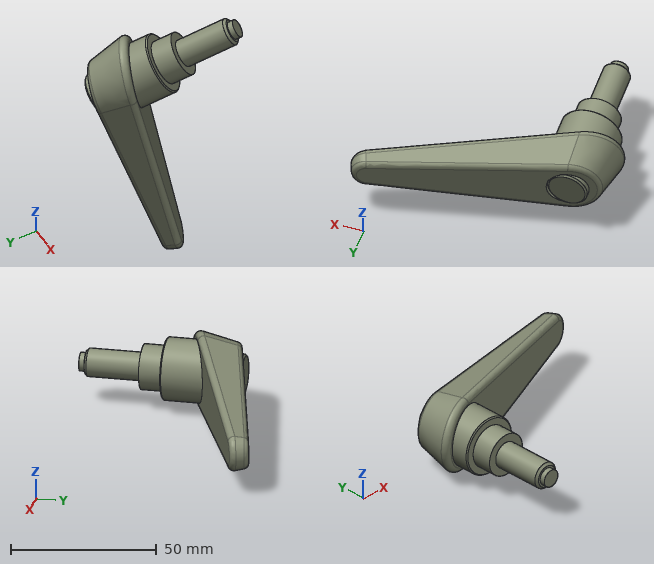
import cadquery as cq
import math


draft_angle = 12.5
side_taper = 1.3
base_radius = 16.5
blank_height = 46.05
underside_angle = 20.0
underside_height = 11.1
top_angle = 13.6
top_height = 26.8
tip_start = 83.1
tip_length = 5.4
edge_fillet = 1.95

hub_radius = 11.0
hub_height = 15.9
hub_chamfer = 0.4

button_radius = 7.2
button_top = 27.7
button_chamfer = 0.6
collar_radius = 8.0
collar_end = -8.0
shank_radius = 5.0
shank_end = -27.9
shank_chamfer = 0.9
tip_pin_radius = 3.3
tip_pin_end = -29.9


def tangent_of(angle):
    return math.tan(math.radians(angle))


def plane_at(height):
    """Plane square to the clamping axis, with its local y along -Z."""
    return cq.Plane(origin=(0, height, 0), xDir=(1, 0, 0), normal=(0, 1, 0))


def lever_outline(height):
    """Round head, two nearly parallel sides and a rounded tip, at one height."""
    head_radius = base_radius - height * tangent_of(draft_angle)
    taper = math.radians(side_taper)
    head_x = head_radius * math.sin(taper)
    head_half = head_radius * math.cos(taper)
    tip_x = tip_start - height * tangent_of(underside_angle)
    tip_half = head_half - (tip_x - head_x) * math.tan(taper)
    return (
        cq.Workplane(plane_at(height))
        .moveTo(head_x, head_half)
        .threePointArc((-head_radius, 0), (head_x, -head_half))
        .lineTo(tip_x, -tip_half)
        .threePointArc((tip_x + tip_length, 0), (tip_x, tip_half))
        .close()
        .val()
    )


def make_side_wedge():
    """Space between the sloping underside and the sloping top face."""
    start_x = -2 * base_radius
    end_x = tip_start + tip_length
    under_slope = tangent_of(underside_angle)
    top_slope = tangent_of(top_angle)
    corners = [
        (start_x, underside_height + start_x * under_slope),
        (end_x, underside_height + end_x * under_slope),
        (end_x, top_height + end_x * top_slope),
        (start_x, top_height + start_x * top_slope),
    ]
    return cq.Workplane("XY").polyline(corners).close().extrude(2 * base_radius, both=True)


def make_arm():
    """Drafted arm with rounded edges around its top and underside."""
    outlines = [lever_outline(0), lever_outline(blank_height)]
    blank = cq.Workplane(cq.Solid.makeLoft(outlines, True))
    arm = blank.intersect(make_side_wedge())
    under = math.radians(underside_angle)
    top = math.radians(top_angle)
    under_face = cq.DirectionMinMaxSelector(cq.Vector(math.sin(under), -math.cos(under), 0), True)
    top_face = cq.DirectionMinMaxSelector(cq.Vector(-math.sin(top), math.cos(top), 0), True)
    return arm.faces(under_face + top_face).edges().fillet(edge_fillet)


def make_hub():
    """Cylindrical boss below the lever head."""
    return (
        cq.Workplane(plane_at(0))
        .circle(hub_radius)
        .extrude(hub_height)
        .faces("<Y")
        .chamfer(hub_chamfer)
    )


def make_lever():
    """Arm and hub in one piece, bored through for the stud."""
    bore = cq.Workplane(plane_at(0)).circle(button_radius).extrude(blank_height)
    return make_arm().union(make_hub()).cut(bore)


def make_stud():
    """Turned stud with button, collar, plain shank and tip pin."""
    return (
        cq.Workplane("XY")
        .moveTo(0, tip_pin_end)
        .lineTo(tip_pin_radius, tip_pin_end)
        .lineTo(tip_pin_radius, shank_end)
        .lineTo(shank_radius - shank_chamfer, shank_end)
        .lineTo(shank_radius, shank_end + shank_chamfer)
        .lineTo(shank_radius, collar_end)
        .lineTo(collar_radius, collar_end)
        .lineTo(collar_radius, 0)
        .lineTo(button_radius, 0)
        .lineTo(button_radius, button_top - button_chamfer)
        .lineTo(button_radius - button_chamfer, button_top)
        .lineTo(0, button_top)
        .close()
        .revolve(360, (0, 0, 0), (0, 1, 0))
    )


lever = make_lever()
stud = make_stud()
result = cq.Compound.makeCompound([lever.solids().val(), stud.val()])